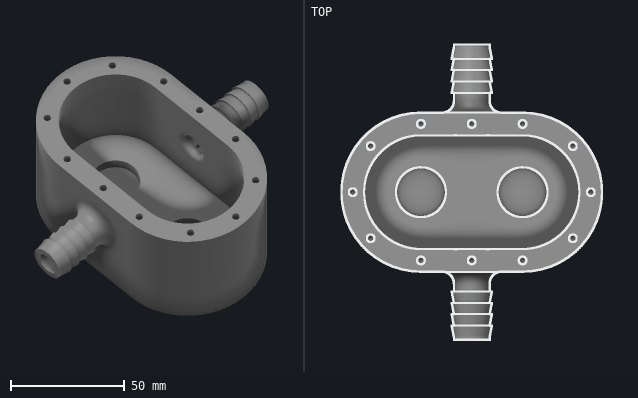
import cadquery as cq
import math

total_length_y = 130.4
body_length = 115.1
body_width = 70.3
body_height = 54.9
wall = 10.0
floor_thickness = 10.0
end_center_x = (body_length - body_width) / 2

recess_diameter = 22.0
recess_depth = 5.0

screw_diameter = 3.4
screw_depth = 30
screw_tip_angle = 118
end_screw_angle = 42.5
screw_offset = (body_width - wall) / 2

nozzle_z = 32.3
nozzle_radius = 15.9 / 2
bore_radius = 10.0 / 2
barb_radius = 17.9 / 2
barb_count = 4
barbed_length = 20.1
barb_pitch = barbed_length / barb_count
tip_length = 1.3
root_fillet = 5.1
bore_flare = 3.0

side_y = body_width / 2
cavity_y = side_y - wall
tip_y = total_length_y / 2


def stadium(length, width, height, base_z):
    return cq.Workplane("XY").workplane(offset=base_z).slot2D(length, width).extrude(height)


def revolve_about_nozzle_axis(profile):
    """Revolve a (radius, Y) profile about Y and move it to nozzle height."""
    solid = profile.close().revolve(360, (0, 0, 0), (0, 1, 0))
    return solid.translate((0, 0, nozzle_z))


def nozzle():
    """Barbed stem on the +Y side, with a concave fillet at its root."""
    embedded_y = side_y - wall / 2
    profile = (
        cq.Workplane("XY")
        .moveTo(0, embedded_y)
        .lineTo(nozzle_radius + root_fillet, embedded_y)
        .lineTo(nozzle_radius + root_fillet, side_y)
        .radiusArc((nozzle_radius, side_y + root_fillet), root_fillet)
        .lineTo(nozzle_radius, tip_y - tip_length - barbed_length)
    )
    for index in reversed(range(barb_count)):
        barb_end_y = tip_y - tip_length - index * barb_pitch
        profile = profile.lineTo(barb_radius, barb_end_y - barb_pitch)
        profile = profile.lineTo(nozzle_radius, barb_end_y)
    profile = profile.lineTo(nozzle_radius, tip_y).lineTo(0, tip_y)
    return revolve_about_nozzle_axis(profile)


def nozzle_bore():
    """Bore from the cavity to the +Y tip, rounded where it meets the cavity."""
    profile = (
        cq.Workplane("XY")
        .lineTo(bore_radius + bore_flare, 0)
        .lineTo(bore_radius + bore_flare, cavity_y)
        .radiusArc((bore_radius, cavity_y + bore_flare), bore_flare)
        .lineTo(bore_radius, tip_y)
        .lineTo(0, tip_y)
    )
    return revolve_about_nozzle_axis(profile)


def both_sides(solid):
    return solid.union(solid.mirror("XZ"))


def screw_points():
    """Hole centers along the middle of the rim."""
    points = [(x, side * screw_offset) for x in (-end_center_x, 0, end_center_x) for side in (-1, 1)]
    for end in (-1, 1):
        for angle in (-end_screw_angle, 0, end_screw_angle):
            x = end_center_x + screw_offset * math.cos(math.radians(angle))
            y = screw_offset * math.sin(math.radians(angle))
            points.append((end * x, y))
    return points


def screw_hole():
    """Blind drilled hole with a conical end, its mouth at the origin."""
    radius = screw_diameter / 2
    tip_depth = radius / math.tan(math.radians(screw_tip_angle / 2))
    profile = (
        cq.Workplane("XZ")
        .lineTo(radius, 0)
        .lineTo(radius, -screw_depth)
        .lineTo(0, -screw_depth - tip_depth)
        .close()
    )
    return profile.revolve(360, (0, 0, 0), (0, 1, 0))


body = stadium(body_length, body_width, body_height, 0)
body = body.union(both_sides(nozzle()))

cavity = stadium(body_length - 2 * wall, body_width - 2 * wall, body_height - floor_thickness, floor_thickness)
body = body.cut(cavity)

recesses = (
    cq.Workplane("XY")
    .workplane(offset=floor_thickness - recess_depth)
    .pushPoints([(-end_center_x, 0), (end_center_x, 0)])
    .circle(recess_diameter / 2)
    .extrude(recess_depth)
)
body = body.cut(recesses)
body = body.cut(both_sides(nozzle_bore()))

for hole_x, hole_y in screw_points():
    body = body.cut(screw_hole().translate((hole_x, hole_y, body_height)))

result = body